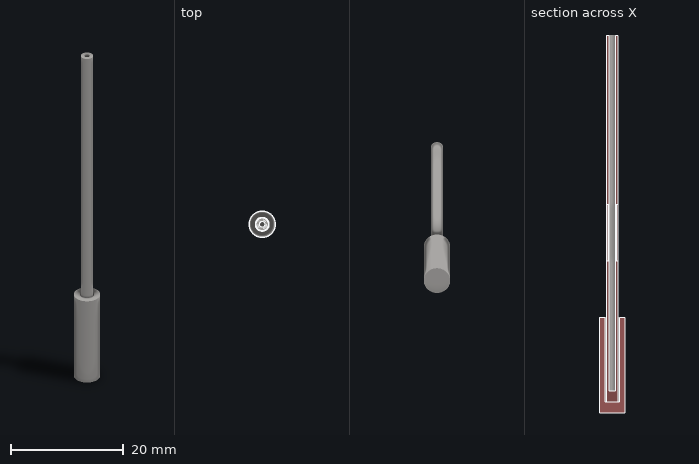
import cadquery as cq

total_length = 67.0
housing_diameter = 4.7
housing_length = 17.0
socket_diameter = 2.5
socket_floor = 2.0

tube_diameter = 2.2
bore_diameter = 1.0
bore_floor = socket_floor + 2.0

band_bottom = 27.0
band_length = 10.0
band_wall = 0.35


def cylinder(diameter, bottom, top):
    """Upright cylinder on the Z axis between two heights."""
    return cq.Workplane("XY").workplane(offset=bottom).circle(diameter / 2).extrude(top - bottom)


def make_housing():
    """Cylindrical housing with a blind socket open at the top."""
    body = cylinder(housing_diameter, 0, housing_length)
    return body.cut(cylinder(socket_diameter, socket_floor, housing_length))


def make_band():
    """Thin ring flush with the outside of the tube."""
    band_top = band_bottom + band_length
    groove_diameter = tube_diameter - 2 * band_wall
    ring = cylinder(tube_diameter, band_bottom, band_top)
    return ring.cut(cylinder(groove_diameter, band_bottom, band_top))


def make_tube(band):
    """Long tube standing on the socket floor, bored from the top and grooved for the band."""
    tube = cylinder(tube_diameter, socket_floor, total_length)
    tube = tube.cut(cylinder(bore_diameter, bore_floor, total_length))
    return tube.cut(band)


housing = make_housing()
band = make_band()
tube = make_tube(band)

result = cq.Compound.makeCompound([housing.val(), tube.val(), band.val()])